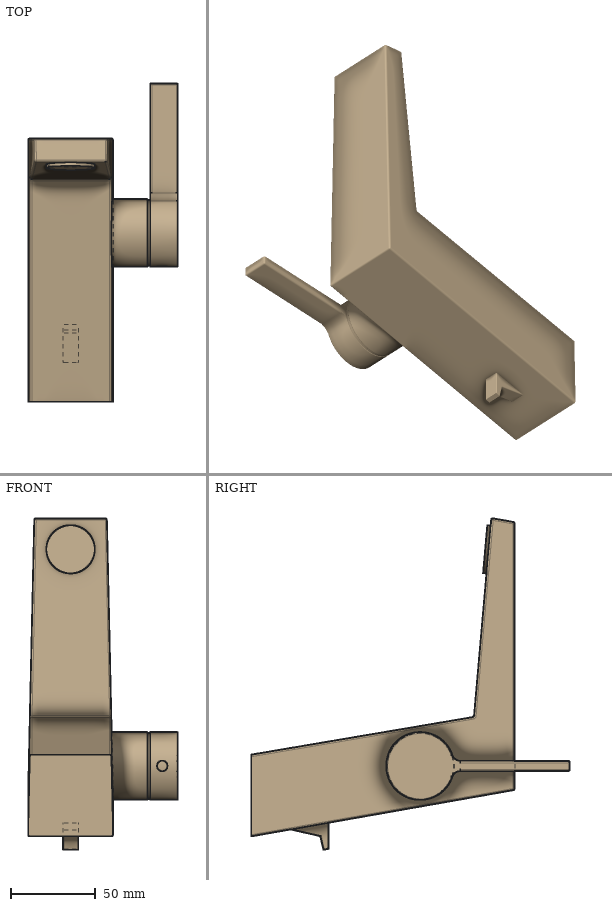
import math

import cadquery as cq


body_width = 50.02
body_length = 155.0
body_back = 55.6
body_slope = 10.0
side_draft = 1.3
front_bottom = -41.5
front_height = 48.2
column_depth = 13.75
column_top = 145.94
column_lean = 5.0
body_round = 1.1

pad_diameter = 28.5
pad_height = 2.0
pad_center = 127.4

handle_diameter = 40.0
handle_end = 63.15
sleeve_length = 16.4
groove_width = 1.4
groove_depth = 0.5
rim_round = 0.7
screw_cover_diameter = 6.2
screw_cover_recess = 0.2
screw_cover_offset = 9.2
lever_thickness = 6.0
lever_reach = 32.47
lever_round = 1.0
lever_blend = 5.0

hook_width = 9.2
hook_back = 45.5
hook_toe = 23.2
hook_bottom = -49.34
hook_tip_length = 3.0
hook_throat_length = 4.9
hook_throat_height = 8.0
hook_root = 1.2
hook_round = 0.5

body_front = body_back - body_length
slope = math.tan(math.radians(body_slope))
lean = math.tan(math.radians(column_lean))
handle_radius = handle_diameter / 2
sleeve_start = handle_end - sleeve_length


def bottom_z(y):
    """Height of the sloping bottom face at a given Y."""
    return front_bottom + (y - body_front) * slope


def column_front_y(z):
    """Y of the leaning column front face at a given Z."""
    return body_back - column_depth - (column_top - z) * lean


def side_extrude(points, width):
    """Closed YZ outline extruded symmetrically about the middle plane."""
    return cq.Workplane("YZ").polyline(points).close().extrude(width / 2, both=True)


def make_body():
    front_top = front_bottom + front_height
    corner_z = (front_top + (column_front_y(0) - body_front) * slope) / (1 + lean * slope)
    outline = [
        (body_front, front_bottom),
        (body_front, front_top),
        (column_front_y(corner_z), corner_z),
        (column_front_y(column_top), column_top),
        (body_back, column_top - column_depth * slope),
        (body_back, bottom_z(body_back)),
    ]
    block = side_extrude(outline, body_width)

    envelope_height = 2 * column_top
    half_bottom = body_width / 2
    half_top = half_bottom - envelope_height * math.tan(math.radians(side_draft))
    along_slope = (0, math.cos(math.radians(body_slope)), math.sin(math.radians(body_slope)))
    section_plane = cq.Plane((0, body_front, front_bottom), (-1, 0, 0), along_slope)
    envelope = (
        cq.Workplane(section_plane)
        .polyline([(-half_bottom, 0), (half_bottom, 0), (half_top, envelope_height),
                   (-half_top, envelope_height)])
        .close()
        .extrude(2 * body_length, both=True)
    )
    body = block.intersect(envelope)
    front_edges = body.faces("<Y").edges().vals()
    kept = [edge for edge in body.edges().vals() if not any(edge.isSame(front) for front in front_edges)]
    return body.newObject(kept).fillet(body_round)


def make_pad():
    face_center = (0, column_front_y(pad_center), pad_center)
    outward = (0, -math.cos(math.radians(column_lean)), math.sin(math.radians(column_lean)))
    pad_plane = cq.Plane(face_center, (1, 0, 0), outward)
    return cq.Workplane(pad_plane).circle(pad_diameter / 2).extrude(pad_height)


def cylinder_x(radius, start, end):
    """Cylinder on the handle axis between two X positions."""
    return cq.Workplane("YZ", origin=(start, 0, 0)).circle(radius).extrude(end - start)


def make_collar():
    collar = cylinder_x(handle_radius, 0, sleeve_start - groove_width)
    collar = collar.faces(">X").edges().fillet(rim_round)
    neck = cylinder_x(handle_radius - groove_depth, 0, sleeve_start)
    return collar.union(neck)


def make_lever():
    """Flat bar from the handle axis to behind the body, with blends onto the sleeve."""
    lever_end = body_back + lever_reach
    half = lever_thickness / 2
    bar = (
        cq.Workplane("XY", origin=(sleeve_start, 0, -half))
        .box(sleeve_length, lever_end, lever_thickness, centered=False)
        .edges("|Y or >Y")
        .fillet(lever_round)
    )
    blend_z = half + lever_blend
    blend_y = math.sqrt((handle_radius + lever_blend) ** 2 - blend_z ** 2)
    touch = handle_radius / (handle_radius + lever_blend)
    root = (
        cq.Workplane("YZ", origin=(sleeve_start, 0, 0))
        .moveTo(0, 0)
        .lineTo(blend_y * touch, blend_z * touch)
        .radiusArc((blend_y, half), -lever_blend)
        .lineTo(blend_y, -half)
        .radiusArc((blend_y * touch, -blend_z * touch), -lever_blend)
        .close()
        .extrude(sleeve_length)
    )
    return bar.union(root)


def make_screw_recess():
    """Shallow round recess on the -Y side of the sleeve, with a floor concentric to it."""
    drill = (
        cq.Workplane("XZ", origin=(handle_end - screw_cover_offset, 0, 0))
        .circle(screw_cover_diameter / 2)
        .extrude(handle_diameter)
    )
    return drill.cut(cylinder_x(handle_radius - screw_cover_recess, sleeve_start, handle_end))


def make_sleeve():
    sleeve = cylinder_x(handle_radius, sleeve_start, handle_end).faces(">X").edges().fillet(rim_round)
    sleeve = sleeve.union(make_lever())
    return sleeve.cut(make_screw_recess())


def make_hook():
    back_y = body_front + hook_back
    toe_y = body_front + hook_toe
    outline = [
        (back_y, bottom_z(back_y) + hook_root),
        (back_y, hook_bottom + hook_tip_length * slope),
        (back_y - hook_tip_length, hook_bottom),
        (back_y - hook_throat_length, hook_bottom + hook_throat_height),
        (toe_y, bottom_z(toe_y)),
        (toe_y, bottom_z(toe_y) + hook_root),
    ]
    return side_extrude(outline, hook_width).faces("<X or >X").edges().fillet(hook_round)


result = make_body().union(make_pad()).union(make_collar()).union(make_sleeve()).union(make_hook())